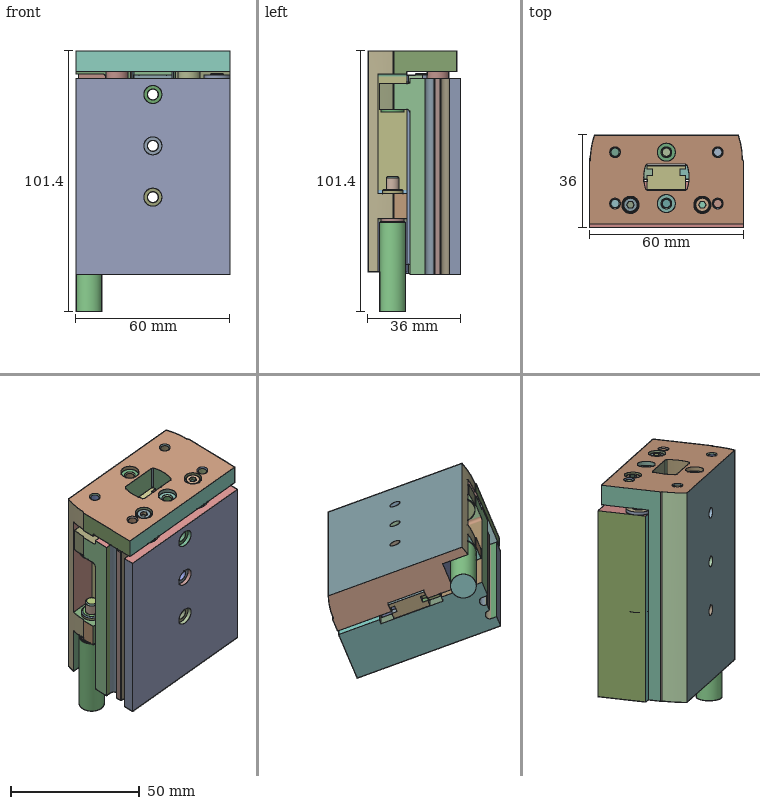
import cadquery as cq
import math


HALF_WIDTH = 30.0
BACK_Y = 36.0
TOP_Z = 101.4
CUT_MARGIN = 5.1
SELECTION_REACH = 0.1

SLIDE_FRONT_Y = 20.9
SLIDE_BOTTOM_Z = 15.4
PLATE_FRONT_Y = 1.4
PLATE_THICKNESS = 8.0
SIDE_STEP = 0.4
SIDE_ARC_START_Y = 26.4
SIDE_ARC_START_X = HALF_WIDTH - SIDE_STEP
HALF_BACK_WIDTH = 28.0
BACK_PANEL_THICKNESS = 3.8
POCKET_WALL_X = -18.5
POCKET_TOP_Z = 92.4
POCKET_TOP_FILLET = 0.9
HOLDER_TOP_Z = 45.9
HOLDER_BOTTOM_Z = 36.3
HOLDER_FILLET = 1.3

RAIL_HALF_WIDTH = 7.5
RAIL_FRONT_Y = 14.8
RAIL_BACK_Y = 24.1
RAIL_TOP_Z = 92.0
RAIL_BOTTOM_Z = 14.8
KEY_FRONT_Y = 20.3
KEY_BACK_Y = 22.7
KEY_DEPTH = 2.1
LIP_HALF_WIDTH = 12.2
LIP_FRONT_Y = 18.8
LIP_TOP_Z = 89.2
LIP_BOTTOM_Z = 18.4
GUIDE_GAP = 0.8
WINDOW_FRONT_Y = 14.5
WINDOW_BACK_Y = 24.6
WINDOW_CHAMFER = 0.5
WINDOW_HALF_END = 7.9
WINDOW_HALF_MIDDLE = 8.8

HOUSING_BACK_Y = 19.8
HOUSING_TOP_Z = 90.8
HOUSING_BOTTOM_Z = 14.4
GROOVE_WIDTH = 3.4
GROOVE_DEPTH = 4.0
GROOVE_YS = (4.3 + GROOVE_WIDTH / 2, 10.3 + GROOVE_WIDTH / 2)
RIDGE_RECESS = 1.6
RIDGE_CHAMFER = 0.3
ARM_BACK_Y = 31.5
ARM_INNER_X = -19.1
ARM_TOP_Z = 88.7
ARM_BOTTOM_Z = 78.7
ARM_TOP_FILLET = 0.7
ARM_BOTTOM_FILLET = 1.3
BUFFER_DIAMETER = 9.0
BUFFER_HEIGHT = 1

HOLE_PITCH = 20.0
MOUNT_HOLE_DIAMETER = 4.2
COUNTERBORE_DIAMETER = 7.0
COUNTERBORE_DEPTH = 1.6
TOP_MOUNT_HOLE_Z = 84.5
MOUNT_HOLE_COUNT = 3
PLATE_HOLE_FRONT_Y = 9.3
THREAD_DIAMETER = 3.2
THREAD_DEPTH = 6.1
THREAD_MOUTH_DIAMETER = 4.2

ROD_X = 14.0
ROD_Y = 8.8
ROD_DIAMETER = 8.5
ROD_BOTTOM_Z = 30.4
ROD_NECK_DIAMETER = 4.0
ROD_HEAD_DIAMETER = 6.0
ROD_HEAD_TOP_Z = 100.9
ROD_HEAD_CHAMFER = 0.4
ROD_SEAT_DIAMETER = 6.7
ROD_SEAT_Z = 97.3
ROD_RECESS_DIAMETER = 12.0
ROD_RECESS_DEPTH = 3
SOCKET_SIDES = 6
SOCKET_WIDTH = 2.5
SOCKET_DEPTH = 1.5
SOCKET_TURN = 30

ABSORBER_X = -24.8
ABSORBER_Y = 26.5
BODY_DIAMETER = 10.0
BODY_TOP_Z = 35.0
BODY_CHAMFER = 0.3
COLLAR_DIAMETER = 9.0
SHANK_DIAMETER = 8.0
SHANK_TOP_Z = 47.6
SHANK_CHAMFER = 0.5
PIN_DIAMETER = 5.0
PIN_TOP_Z = 52.5
PIN_CHAMFER = 0.5
STOP_X = 24.9
STOP_Y = 15.1
STOP_BOTTOM_Z = 50.7
STOP_PIN_HEIGHT = 0.7
STOP_PIN_CHAMFER = 0.3


def box(x0, x1, y0, y1, z0, z1):
    """Axis-aligned block between two corners."""
    return cq.Workplane("XY").box(x1 - x0, y1 - y0, z1 - z0, centered=False).translate((x0, y0, z0))


def cylinder(x, y, z0, z1, diameter):
    """Upright cylinder between two heights."""
    return cq.Workplane("XY", origin=(x, y, z0)).circle(diameter / 2).extrude(z1 - z0)


def side_arc_middle():
    """Middle point of the +X side arc, which starts out parallel to Y."""
    rise = BACK_Y - SIDE_ARC_START_Y
    drop = SIDE_ARC_START_X - HALF_BACK_WIDTH
    radius = (rise**2 + drop**2) / (2 * drop)
    half_angle = math.asin(rise / radius) / 2
    x = SIDE_ARC_START_X - radius * (1 - math.cos(half_angle))
    return x, SIDE_ARC_START_Y + radius * math.sin(half_angle)


def curved_back_prism(front_y, z0, z1):
    """Prism whose full-width sides step in slightly, then curve inward to the back."""
    step_y = SIDE_ARC_START_Y - SIDE_STEP
    middle_x, middle_y = side_arc_middle()
    return (
        cq.Workplane("XY", origin=(0, 0, z0))
        .moveTo(-HALF_WIDTH, front_y)
        .lineTo(HALF_WIDTH, front_y)
        .lineTo(HALF_WIDTH, step_y)
        .lineTo(SIDE_ARC_START_X, SIDE_ARC_START_Y)
        .threePointArc((middle_x, middle_y), (HALF_BACK_WIDTH, BACK_Y))
        .lineTo(-HALF_BACK_WIDTH, BACK_Y)
        .threePointArc((-middle_x, middle_y), (-SIDE_ARC_START_X, SIDE_ARC_START_Y))
        .lineTo(-HALF_WIDTH, step_y)
        .close()
        .extrude(z1 - z0)
    )


def mount_holes():
    """Holes through housing and slide along Y, counterbored at the housing front."""
    holes = cq.Workplane("XY")
    for index in range(MOUNT_HOLE_COUNT):
        plane = cq.Workplane("XZ", origin=(0, 0, TOP_MOUNT_HOLE_Z - index * HOLE_PITCH))
        holes = holes.add(plane.circle(MOUNT_HOLE_DIAMETER / 2).extrude(-BACK_Y))
        holes = holes.add(plane.circle(COUNTERBORE_DIAMETER / 2).extrude(-COUNTERBORE_DEPTH))
    return holes.combine()


def side_pocket(z0, z1):
    """Pocket in the -X side of the slide, in front of its back panel."""
    return box(
        -HALF_WIDTH - CUT_MARGIN, POCKET_WALL_X,
        SLIDE_FRONT_Y - CUT_MARGIN, BACK_Y - BACK_PANEL_THICKNESS, z0, z1,
    )


def upper_pocket():
    """Travel space of the housing arm, rounded where its ends meet the inner wall."""
    pocket = side_pocket(HOLDER_TOP_Z, POCKET_TOP_Z)
    pocket = pocket.edges("|Y and >X and >Z").fillet(POCKET_TOP_FILLET)
    return pocket.edges("|Y and >X and <Z").fillet(HOLDER_FILLET)


def lower_pocket():
    """Space around the absorber body, open downwards."""
    pocket = side_pocket(SLIDE_BOTTOM_Z - CUT_MARGIN, HOLDER_BOTTOM_Z)
    return pocket.edges("|Y and >X and >Z").fillet(HOLDER_FILLET)


def window():
    """Barrel-shaped window through the plate that continues as the guide channel."""
    middle_y = (WINDOW_FRONT_Y + WINDOW_BACK_Y) / 2
    return (
        cq.Workplane("XY", origin=(0, 0, LIP_TOP_Z))
        .moveTo(-WINDOW_HALF_END, WINDOW_FRONT_Y)
        .lineTo(WINDOW_HALF_END, WINDOW_FRONT_Y)
        .threePointArc((WINDOW_HALF_MIDDLE, middle_y), (WINDOW_HALF_END, WINDOW_BACK_Y))
        .lineTo(-WINDOW_HALF_END, WINDOW_BACK_Y)
        .threePointArc((-WINDOW_HALF_MIDDLE, middle_y), (-WINDOW_HALF_END, WINDOW_FRONT_Y))
        .close()
        .extrude(TOP_Z - LIP_TOP_Z)
        .edges("|Z")
        .chamfer(WINDOW_CHAMFER)
    )


def guide_keys(z0, z1):
    """The two tongues of the slide that run in the notches of the rail."""
    inner_x = RAIL_HALF_WIDTH - KEY_DEPTH
    right = box(inner_x, RAIL_HALF_WIDTH, KEY_FRONT_Y, KEY_BACK_Y, z0, z1)
    return right.union(right.mirror("YZ"))


def guide_channel():
    """Channel along the slide that takes the rail, with the two tongues left standing."""
    channel = box(
        -RAIL_HALF_WIDTH, RAIL_HALF_WIDTH,
        LIP_FRONT_Y - CUT_MARGIN, WINDOW_BACK_Y, SLIDE_BOTTOM_Z - CUT_MARGIN, LIP_TOP_Z,
    )
    return channel.cut(guide_keys(LIP_BOTTOM_Z, LIP_TOP_Z))


def threaded_hole(x, y, mouth_z):
    """Blind threaded hole from the top with a chamfered mouth."""
    chamfer = (THREAD_MOUTH_DIAMETER - THREAD_DIAMETER) / 2
    hole = cylinder(x, y, mouth_z - THREAD_DEPTH, mouth_z, THREAD_DIAMETER)
    mouth = cq.Solid.makeCone(
        THREAD_DIAMETER / 2, THREAD_MOUTH_DIAMETER / 2, chamfer, pnt=cq.Vector(x, y, mouth_z - chamfer)
    )
    return hole.union(mouth)


def make_slide():
    slide = curved_back_prism(SLIDE_FRONT_Y, SLIDE_BOTTOM_Z, TOP_Z)
    slide = slide.union(
        box(-HALF_WIDTH, HALF_WIDTH, PLATE_FRONT_Y, SLIDE_FRONT_Y, TOP_Z - PLATE_THICKNESS, TOP_Z)
    )
    slide = slide.union(
        box(-LIP_HALF_WIDTH, LIP_HALF_WIDTH, LIP_FRONT_Y, SLIDE_FRONT_Y, LIP_BOTTOM_Z, LIP_TOP_Z)
    )
    slide = slide.cut(upper_pocket()).cut(lower_pocket())
    slide = slide.cut(window()).cut(guide_channel())
    slide = slide.cut(cylinder(ABSORBER_X, ABSORBER_Y, HOLDER_BOTTOM_Z, HOLDER_TOP_Z, SHANK_DIAMETER))

    for y in (PLATE_HOLE_FRONT_Y, PLATE_HOLE_FRONT_Y + HOLE_PITCH):
        for x in (-HOLE_PITCH, HOLE_PITCH):
            slide = slide.cut(threaded_hole(x, y, TOP_Z))
        seat_z = TOP_Z - COUNTERBORE_DEPTH
        slide = slide.cut(cylinder(0, y, seat_z, TOP_Z, COUNTERBORE_DIAMETER))
        slide = slide.cut(threaded_hole(0, y, seat_z))

    for x in (-ROD_X, ROD_X):
        slide = slide.cut(cylinder(x, ROD_Y, TOP_Z - PLATE_THICKNESS, TOP_Z, ROD_NECK_DIAMETER))
        slide = slide.cut(cylinder(x, ROD_Y, ROD_SEAT_Z, TOP_Z, ROD_SEAT_DIAMETER))
    return slide.cut(mount_holes())


def side_groove(y):
    """Sensor groove with a round floor along the whole -X side."""
    radius = GROOVE_WIDTH / 2
    floor_x = -HALF_WIDTH + GROOVE_DEPTH
    return (
        cq.Workplane("XY", origin=(0, 0, HOUSING_BOTTOM_Z))
        .moveTo(-HALF_WIDTH, y - radius)
        .lineTo(floor_x - radius, y - radius)
        .threePointArc((floor_x, y), (floor_x - radius, y + radius))
        .lineTo(-HALF_WIDTH, y + radius)
        .close()
        .extrude(HOUSING_TOP_Z - HOUSING_BOTTOM_Z)
    )


def ridge_relief():
    """Material taken off between the grooves, leaving a set-back ridge with chamfered edges."""
    ridge_front_y = GROOVE_YS[0] + GROOVE_WIDTH / 2
    ridge_back_y = GROOVE_YS[1] - GROOVE_WIDTH / 2
    ridge_x = -HALF_WIDTH + RIDGE_RECESS
    chamfer_end_x = ridge_x + RIDGE_CHAMFER
    return (
        cq.Workplane("XY", origin=(0, 0, HOUSING_BOTTOM_Z))
        .moveTo(-HALF_WIDTH, ridge_front_y)
        .lineTo(chamfer_end_x, ridge_front_y)
        .lineTo(ridge_x, ridge_front_y + RIDGE_CHAMFER)
        .lineTo(ridge_x, ridge_back_y - RIDGE_CHAMFER)
        .lineTo(chamfer_end_x, ridge_back_y)
        .lineTo(-HALF_WIDTH, ridge_back_y)
        .close()
        .extrude(HOUSING_TOP_Z - HOUSING_BOTTOM_Z)
    )


def make_rail():
    """Guide rail with a notch in each side for the slide's tongues."""
    rail = box(
        -RAIL_HALF_WIDTH, RAIL_HALF_WIDTH, RAIL_FRONT_Y, RAIL_BACK_Y, RAIL_BOTTOM_Z, RAIL_TOP_Z
    )
    return rail.cut(guide_keys(RAIL_BOTTOM_Z, RAIL_TOP_Z))


def make_arm():
    """Arm that reaches into the slide's pocket, with the buffer disc below it."""
    arm_space = box(
        -HALF_WIDTH, ARM_INNER_X, HOUSING_BACK_Y, ARM_BACK_Y, ARM_BOTTOM_Z, ARM_TOP_Z
    )
    arm = curved_back_prism(HOUSING_BACK_Y, ARM_BOTTOM_Z, ARM_TOP_Z).intersect(arm_space)
    buffer_bottom_z = ARM_BOTTOM_Z - BUFFER_HEIGHT
    return arm.union(cylinder(ABSORBER_X, ABSORBER_Y, buffer_bottom_z, ARM_BOTTOM_Z, BUFFER_DIAMETER))


def arm_root_edges(z):
    """Selector for the inner corner between the arm and the housing back at one height."""
    return cq.selectors.BoxSelector(
        (-HALF_WIDTH, HOUSING_BACK_Y - SELECTION_REACH, z - SELECTION_REACH),
        (ARM_INNER_X, HOUSING_BACK_Y + SELECTION_REACH, z + SELECTION_REACH),
    )


def make_housing():
    housing = box(
        -HALF_WIDTH, HALF_WIDTH, 0, HOUSING_BACK_Y, HOUSING_BOTTOM_Z, HOUSING_TOP_Z
    ).union(make_arm())
    housing = housing.edges(arm_root_edges(ARM_TOP_Z)).fillet(ARM_TOP_FILLET)
    housing = housing.edges(arm_root_edges(ARM_BOTTOM_Z)).fillet(ARM_BOTTOM_FILLET)

    for y in GROOVE_YS:
        housing = housing.cut(side_groove(y))
    housing = housing.cut(ridge_relief())

    lip_space = LIP_HALF_WIDTH + GUIDE_GAP
    housing = housing.cut(
        box(
            -lip_space, lip_space,
            LIP_FRONT_Y - GUIDE_GAP, HOUSING_BACK_Y, HOUSING_BOTTOM_Z, HOUSING_TOP_Z,
        )
    )
    housing = housing.union(make_rail())

    for x in (-ROD_X, ROD_X):
        housing = housing.cut(cylinder(x, ROD_Y, ROD_BOTTOM_Z, HOUSING_TOP_Z, ROD_DIAMETER))
        recess_z = HOUSING_TOP_Z - ROD_RECESS_DEPTH
        housing = housing.cut(cylinder(x, ROD_Y, recess_z, HOUSING_TOP_Z, ROD_RECESS_DIAMETER))
    housing = housing.cut(cylinder(STOP_X, STOP_Y, STOP_BOTTOM_Z, HOUSING_TOP_Z, BODY_DIAMETER))
    return housing.cut(mount_holes())


def make_rod(x):
    """Piston rod under the plate, with a neck and a socket head seated in the plate."""
    plate_bottom_z = TOP_Z - PLATE_THICKNESS
    head = cylinder(x, ROD_Y, ROD_SEAT_Z, ROD_HEAD_TOP_Z, ROD_HEAD_DIAMETER)
    head = head.faces(">Z").edges().chamfer(ROD_HEAD_CHAMFER)
    socket = (
        cq.Workplane("XY", origin=(x, ROD_Y, ROD_HEAD_TOP_Z - SOCKET_DEPTH))
        .transformed(rotate=(0, 0, SOCKET_TURN))
        .polygon(SOCKET_SIDES, SOCKET_WIDTH, circumscribed=True)
        .extrude(SOCKET_DEPTH)
    )
    rod = cylinder(x, ROD_Y, ROD_BOTTOM_Z, plate_bottom_z, ROD_DIAMETER)
    rod = rod.union(cylinder(x, ROD_Y, plate_bottom_z, ROD_SEAT_Z, ROD_NECK_DIAMETER))
    return rod.union(head.cut(socket))


def make_absorber():
    """Shock absorber held in the slide's holder block, pin upwards."""
    body = cylinder(ABSORBER_X, ABSORBER_Y, 0, BODY_TOP_Z, BODY_DIAMETER)
    body = body.faces(">Z").edges().chamfer(BODY_CHAMFER)
    collar = cylinder(ABSORBER_X, ABSORBER_Y, BODY_TOP_Z, HOLDER_BOTTOM_Z, COLLAR_DIAMETER)
    shank = cylinder(ABSORBER_X, ABSORBER_Y, HOLDER_BOTTOM_Z, SHANK_TOP_Z, SHANK_DIAMETER)
    shank = shank.faces(">Z").edges().chamfer(SHANK_CHAMFER)
    pin = cylinder(ABSORBER_X, ABSORBER_Y, SHANK_TOP_Z, PIN_TOP_Z, PIN_DIAMETER)
    pin = pin.faces(">Z").edges().chamfer(PIN_CHAMFER)
    return body.union(collar).union(shank).union(pin)


def make_end_stop():
    """Stop set into the housing top, with a short pin facing the plate."""
    body = cylinder(STOP_X, STOP_Y, STOP_BOTTOM_Z, RAIL_TOP_Z, BODY_DIAMETER)
    pin_top_z = RAIL_TOP_Z + STOP_PIN_HEIGHT
    pin = cylinder(STOP_X, STOP_Y, RAIL_TOP_Z, pin_top_z, PIN_DIAMETER)
    return body.union(pin.faces(">Z").edges().chamfer(STOP_PIN_CHAMFER))


housing = make_housing()
slide = make_slide()
rods = [make_rod(x).val() for x in (-ROD_X, ROD_X)]
absorber = make_absorber()
end_stop = make_end_stop()

result = cq.Compound.makeCompound(
    [housing.val(), slide.val(), *rods, absorber.val(), end_stop.val()]
)